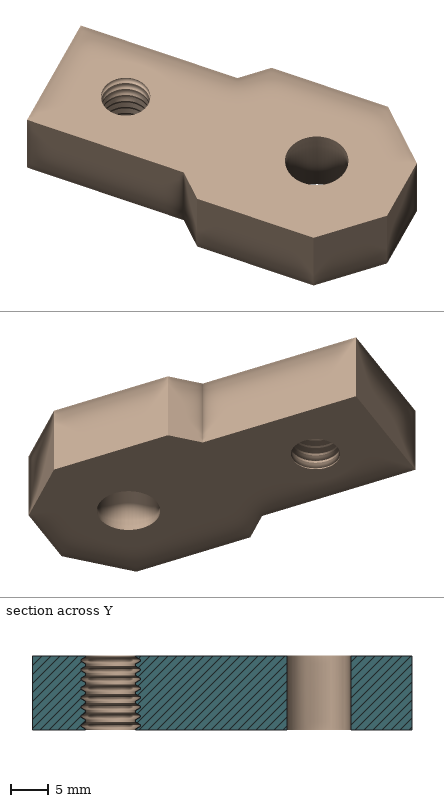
import cadquery as cq

length = 51.0
head_width = 25.0
thickness = 10.0

tail_width = 18.0
tail_length = 22.95
nose_chamfer = 7.5
shoulder = (head_width - tail_width) / 2

pivot_diameter = 8.5
pivot_x = length - head_width / 2

thread_x = 10.5
minor_diameter = 6.65
groove_count = 8
pitch = thickness / groove_count
crest_width = pitch / 4
root_width = pitch / 8
thread_depth = 0.65


def make_body():
    """Symmetric plate outline extruded from the bottom face."""
    half_head = head_width / 2
    half_tail = tail_width / 2
    upper_edge = [
        (0, half_tail),
        (tail_length, half_tail),
        (tail_length + shoulder, half_head),
        (length - nose_chamfer, half_head),
        (length, half_head - nose_chamfer),
    ]
    lower_edge = [(x, -y) for x, y in reversed(upper_edge)]
    return cq.Workplane("XY").polyline(upper_edge + lower_edge).close().extrude(thickness)


def make_hole(x, diameter):
    return cq.Workplane("XY").center(x, 0).circle(diameter / 2).extrude(thickness)


def make_thread_grooves():
    """Stack of trapezoidal ring grooves, with half a crest left at each face."""
    bore_radius = minor_diameter / 2
    half_mouth = (pitch - crest_width) / 2
    half_root = root_width / 2
    root_radius = bore_radius + thread_depth
    profile = [
        (0, -half_mouth),
        (bore_radius, -half_mouth),
        (root_radius, -half_root),
        (root_radius, half_root),
        (bore_radius, half_mouth),
        (0, half_mouth),
    ]
    ring = cq.Workplane("XZ").polyline(profile).close().revolve(360, (0, 0, 0), (0, 1, 0))
    grooves = cq.Workplane("XY")
    for index in range(groove_count):
        grooves = grooves.add(ring.translate((thread_x, 0, (index + 0.5) * pitch)))
    return grooves.combine()


result = (
    make_body()
    .cut(make_hole(pivot_x, pivot_diameter))
    .cut(make_hole(thread_x, minor_diameter))
    .cut(make_thread_grooves())
)